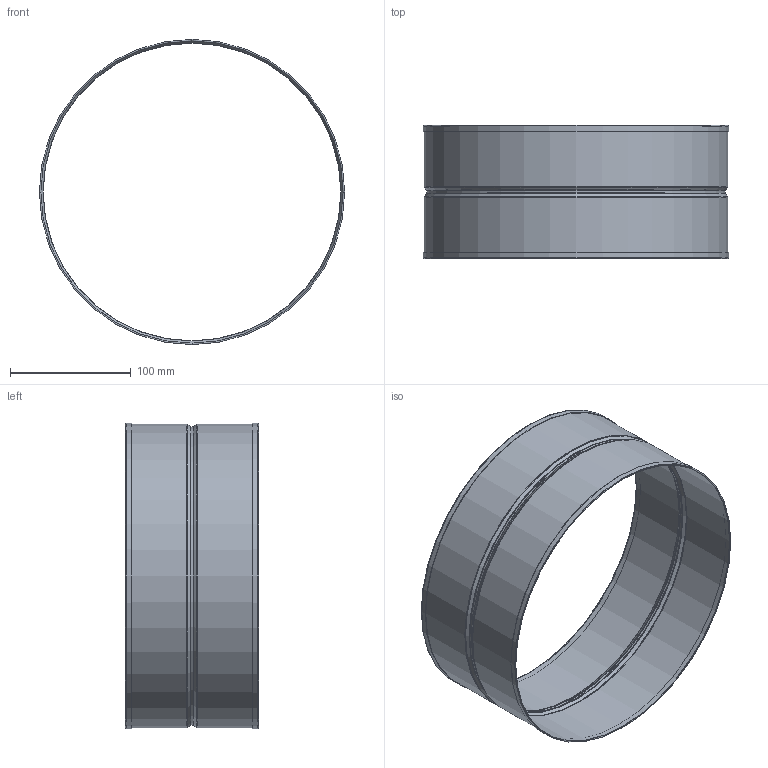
import cadquery as cq
import math

wall = 0.5
body_outer_radius = 251.4 / 2
hem_outer_radius = 252.6 / 2
groove_outer_radius = 247.4 / 2
overall_length = 110.1

hem_length = 5.0

floor_half_width = 1.0
groove_half_width = 4.5
bend_inner_radius = 0.6

bend_outer_radius = bend_inner_radius + wall
body_inner_radius = body_outer_radius - wall
groove_inner_radius = groove_outer_radius - wall
fold_outer_radius = (hem_outer_radius - body_inner_radius) / 2
fold_inner_radius = fold_outer_radius - wall
fold_centre_radius = body_inner_radius + fold_outer_radius
fold_start = overall_length / 2 - fold_outer_radius
flap_inner_radius = hem_outer_radius - wall
flap_end = overall_length / 2 - hem_length

shoulder_centre_radius = body_inner_radius - bend_inner_radius
root_centre_radius = groove_outer_radius + bend_inner_radius

centre_run = groove_half_width - floor_half_width
centre_drop = shoulder_centre_radius - root_centre_radius
flank_angle = math.atan2(centre_drop, centre_run) + math.asin(
    (bend_inner_radius + bend_outer_radius) / math.hypot(centre_run, centre_drop)
)


def shoulder_point(bend_radius, angle):
    """Point on a shoulder bend as (radius, y), turned by angle from the body wall."""
    radius = shoulder_centre_radius + bend_radius * math.cos(angle)
    return radius, groove_half_width - bend_radius * math.sin(angle)


def root_point(bend_radius, angle):
    """Point on a root bend as (radius, y), turned by angle from the groove floor."""
    radius = root_centre_radius - bend_radius * math.cos(angle)
    return radius, floor_half_width + bend_radius * math.sin(angle)


def make_section():
    """Cross-section of the folded sheet, in the XY plane with X as the radius."""
    half_section = (
        cq.Workplane("XY")
        .moveTo(groove_outer_radius, 0)
        .lineTo(*root_point(bend_inner_radius, 0))
        .threePointArc(
            root_point(bend_inner_radius, flank_angle / 2),
            root_point(bend_inner_radius, flank_angle),
        )
        .lineTo(*shoulder_point(bend_outer_radius, flank_angle))
        .threePointArc(
            shoulder_point(bend_outer_radius, flank_angle / 2),
            shoulder_point(bend_outer_radius, 0),
        )
        .lineTo(body_outer_radius, fold_start)
        .threePointArc(
            (fold_centre_radius, fold_start + fold_inner_radius),
            (flap_inner_radius, fold_start),
        )
        .lineTo(flap_inner_radius, flap_end)
        .lineTo(hem_outer_radius, flap_end)
        .lineTo(hem_outer_radius, fold_start)
        .threePointArc(
            (fold_centre_radius, fold_start + fold_outer_radius),
            (body_inner_radius, fold_start),
        )
        .lineTo(*shoulder_point(bend_inner_radius, 0))
        .threePointArc(
            shoulder_point(bend_inner_radius, flank_angle / 2),
            shoulder_point(bend_inner_radius, flank_angle),
        )
        .lineTo(*root_point(bend_outer_radius, flank_angle))
        .threePointArc(
            root_point(bend_outer_radius, flank_angle / 2),
            root_point(bend_outer_radius, 0),
        )
        .lineTo(groove_inner_radius, 0)
        .mirrorX()
    )
    return cq.Face.makeFromWires(half_section.val()).clean()


ring = cq.Solid.revolve(make_section(), 360, cq.Vector(0, 0, 0), cq.Vector(0, 1, 0))
result = cq.Workplane("XY").newObject([ring])